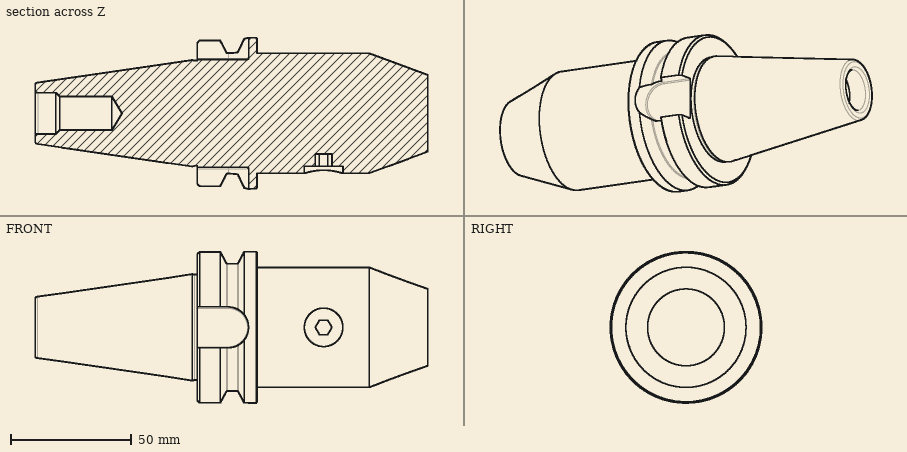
import cadquery as cq
import math

overall_length = 163.4
gauge_x = 65.4
gauge_radius = 44.45 / 2
taper_ratio = 7 / 24
taper_tip_radius = gauge_radius - gauge_x * taper_ratio / 2
tip_edge_radius = 1.0

neck_radius = 22.0
neck_shoulder_length = 0.8
neck_x = gauge_x + neck_shoulder_length

flange_radius = 63 / 2
flange_gap = 2.0
flange_length = 25.0
flange_front_x = gauge_x + flange_gap
flange_back_x = flange_front_x + flange_length
front_chamfer = 1.0
back_chamfer = 0.5
groove_center_offset = 14.6
groove_center_x = flange_front_x + groove_center_offset
groove_bottom_radius = 53 / 2
groove_bottom_half_width = 2.3
groove_flank_angle = 28
groove_flank_length = (flange_radius - groove_bottom_radius) * math.tan(math.radians(groove_flank_angle))
groove_top_half_width = groove_bottom_half_width + groove_flank_length
groove_corner_radius = 0.5

body_radius = 50 / 2
nose_start_x = 139.0
nose_end_radius = 16.0

bore_mouth_rounding = 1.2
bore_radius = 17 / 2
thread_core_radius = 13.84 / 2
bore_depth = 8.7
thread_lead_angle = 45
thread_lead_length = (bore_radius - thread_core_radius) / math.tan(math.radians(thread_lead_angle))
core_depth = 32.0
drill_point_angle = 118
core_tip_x = core_depth + thread_core_radius / math.tan(math.radians(drill_point_angle / 2))

slot_width = 17.0
slot_floor_offset = 22.5
slot_end_x = 88.8
slot_floor_fillet = 0.5

screw_x = 120.0
screw_radius = 16 / 2
screw_face_offset = 22.0
hex_across_flats = 6.0
hex_depth = 5.0
hex_sides = 6


def make_turned_body():
    """Revolved outline of taper, neck, flange, body and nose."""
    outline = (
        cq.Workplane("XY")
        .moveTo(0, 0)
        .lineTo(0, taper_tip_radius)
        .lineTo(gauge_x, gauge_radius)
        .lineTo(neck_x, neck_radius)
        .lineTo(flange_front_x, neck_radius)
        .lineTo(flange_front_x, flange_radius - front_chamfer)
        .lineTo(flange_front_x + front_chamfer, flange_radius)
        .lineTo(groove_center_x - groove_top_half_width, flange_radius)
        .lineTo(groove_center_x - groove_bottom_half_width, groove_bottom_radius)
        .lineTo(groove_center_x + groove_bottom_half_width, groove_bottom_radius)
        .lineTo(groove_center_x + groove_top_half_width, flange_radius)
        .lineTo(flange_back_x - back_chamfer, flange_radius)
        .lineTo(flange_back_x, flange_radius - back_chamfer)
        .lineTo(flange_back_x, body_radius)
        .lineTo(nose_start_x, body_radius)
        .lineTo(overall_length, nose_end_radius)
        .lineTo(overall_length, 0)
        .close()
    )
    turned = outline.revolve(360, (0, 0, 0), (1, 0, 0))
    margin = groove_corner_radius / 2
    groove_corners = cq.selectors.BoxSelector(
        (groove_center_x - groove_bottom_half_width - margin, -flange_radius, -flange_radius),
        (groove_center_x + groove_bottom_half_width + margin, flange_radius, flange_radius),
        boundingbox=True,
    )
    turned = turned.edges(groove_corners).fillet(groove_corner_radius)
    return turned.faces("<X").edges().fillet(tip_edge_radius)


def make_draw_bar_bore():
    """Round-edged counterbore, thread lead-in and core hole with a drill point."""
    outline = (
        cq.Workplane("XY")
        .moveTo(0, 0)
        .lineTo(0, bore_radius + bore_mouth_rounding)
        .radiusArc((bore_mouth_rounding, bore_radius), -bore_mouth_rounding)
        .lineTo(bore_depth, bore_radius)
        .lineTo(bore_depth + thread_lead_length, thread_core_radius)
        .lineTo(core_depth, thread_core_radius)
        .lineTo(core_tip_x, 0)
        .close()
    )
    return outline.revolve(360, (0, 0, 0), (1, 0, 0))


def make_drive_slot():
    """Round-ended slot cutter on the -Y side, open toward the taper."""
    half_width = slot_width / 2
    arc_center_x = slot_end_x - half_width
    open_end_x = flange_front_x - slot_width
    outline = (
        cq.Workplane("XZ", origin=(0, -slot_floor_offset, 0))
        .moveTo(open_end_x, -half_width)
        .lineTo(arc_center_x, -half_width)
        .threePointArc((slot_end_x, 0), (arc_center_x, half_width))
        .lineTo(open_end_x, half_width)
        .close()
    )
    return outline.extrude(flange_radius).faces(">Y").edges("not <X").fillet(slot_floor_fillet)


def make_screw_recess():
    """Round recess down to the screw face, with the hexagon socket below it."""
    face = cq.Workplane("XZ", origin=(screw_x, -screw_face_offset, 0))
    recess = face.circle(screw_radius).extrude(body_radius)
    hex_across_corners = hex_across_flats / math.cos(math.pi / hex_sides)
    socket = face.polygon(hex_sides, hex_across_corners).extrude(-hex_depth)
    return recess.union(socket)


drive_slot = make_drive_slot()
opposite_drive_slot = drive_slot.mirror("XZ")

result = (
    make_turned_body()
    .cut(make_draw_bar_bore())
    .cut(drive_slot)
    .cut(opposite_drive_slot)
    .cut(make_screw_recess())
)